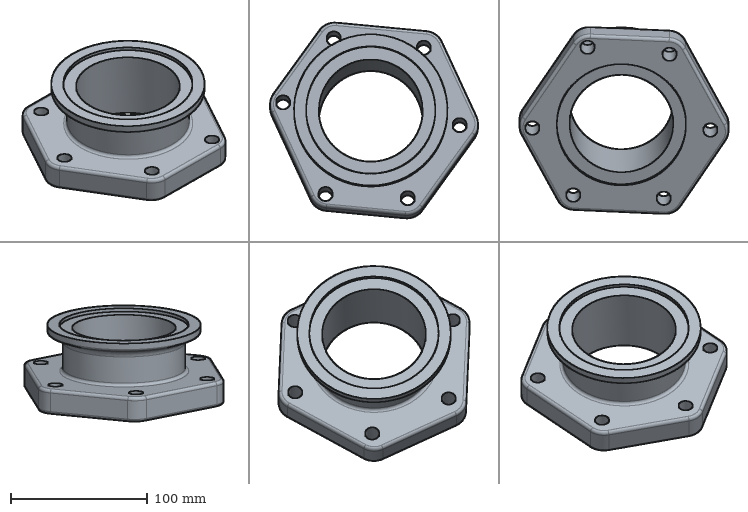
import cadquery as cq
import math

plate_half_width = 77.5
plate_back = 64.2
plate_front = -71.4
plate_thickness = 19.1
corner_radius = 14.0
plate_edge_radius = 2.5
slant_angle = math.radians(60)

hole_diameter = 10.4
bolt_circle_radius = 65.5
back_hole_angle = 55.0
front_hole_angle = 61.0

total_height = 54.1
bore_diameter = 76.2
neck_radius = 90.1 / 2
neck_foot_radius = 2.3
rim_radius = 112.8 / 2
rim_side_height = 5.5
rim_taper = math.radians(20)
rim_edge_radius = 1.4
rim_root_radius = 4.8

seat_diameter = 95.0
seat_depth = 2.5


def make_plate():
    """Six-sided plate with rounded corners and rounded top and bottom edges."""
    corner_gain = corner_radius * (1 / math.sin(slant_angle) - 1)
    side_x = plate_half_width + corner_gain
    back_x = side_x - plate_back / math.tan(slant_angle)
    front_x = side_x + plate_front / math.tan(slant_angle)
    outline = [
        (side_x, 0),
        (back_x, plate_back),
        (-back_x, plate_back),
        (-side_x, 0),
        (-front_x, plate_front),
        (front_x, plate_front),
    ]
    plate = cq.Workplane("XY").polyline(outline).close().extrude(plate_thickness)
    plate = plate.edges("|Z").fillet(corner_radius)
    return plate.faces("<Z or >Z").edges().fillet(plate_edge_radius)


def make_neck():
    """Round neck that flares through a tapered underside into the rim."""
    rim_bottom = total_height - rim_side_height
    taper_drop = (rim_radius - neck_radius) * math.tan(rim_taper)
    root_z = rim_bottom - taper_drop
    neck = (
        cq.Workplane("XZ")
        .lineTo(neck_radius, 0)
        .lineTo(neck_radius, root_z)
        .lineTo(rim_radius, rim_bottom)
        .lineTo(rim_radius, total_height)
        .lineTo(0, total_height)
        .close()
        .revolve(360, (0, 0, 0), (0, 1, 0))
    )
    neck = round_circle(neck, neck_radius, root_z, rim_root_radius)
    return round_circle(neck, rim_radius, rim_bottom, rim_edge_radius)


def round_circle(body, radius, height, fillet_radius):
    """Fillet the circular edge of the given radius and height on the Z axis."""
    margin = 0.2
    corner = radius + margin
    edges = body.edges(
        cq.selectors.BoxSelector(
            (-corner, -corner, height - margin),
            (corner, corner, height + margin),
            boundingbox=True,
        )
    )
    return edges.fillet(fillet_radius)


def cut_bolt_holes(body):
    """Drill the six bolt holes through the plate."""
    angles = [
        0,
        back_hole_angle,
        180 - back_hole_angle,
        180,
        180 + front_hole_angle,
        -front_hole_angle,
    ]
    centres = [
        (
            bolt_circle_radius * math.cos(math.radians(angle)),
            bolt_circle_radius * math.sin(math.radians(angle)),
        )
        for angle in angles
    ]
    holes = cq.Workplane("XY").pushPoints(centres).circle(hole_diameter / 2).extrude(plate_thickness)
    return body.cut(holes)


def make_disc(diameter, bottom, height):
    """Upright disc on the bore axis, used as a cutting tool."""
    return cq.Workplane("XY").workplane(offset=bottom).circle(diameter / 2).extrude(height)


body = make_plate().union(make_neck())
body = round_circle(body, neck_radius, plate_thickness, neck_foot_radius)
body = cut_bolt_holes(body)

bore = make_disc(bore_diameter, 0, total_height)
top_seat = make_disc(seat_diameter, total_height - seat_depth, seat_depth)
bottom_seat = make_disc(seat_diameter, 0, seat_depth)
result = body.cut(bore).cut(top_seat).cut(bottom_seat)